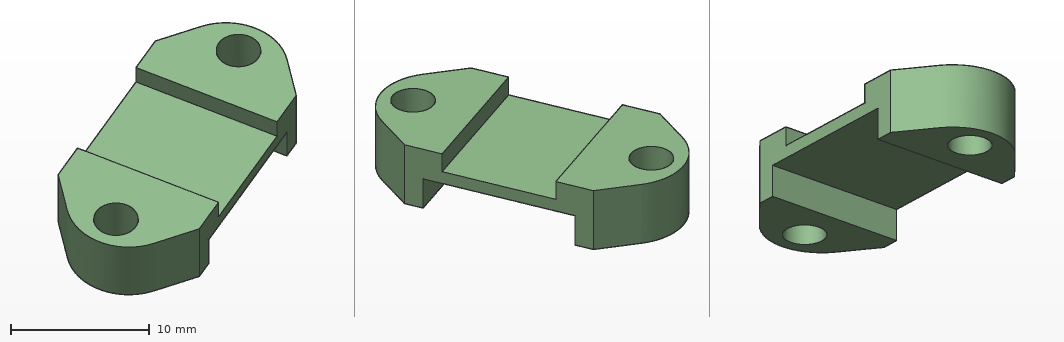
import cadquery as cq
import math

length = 23.97
width = 11.5
height = 5.0

end_radius = 4.5
shoulder_y = length / 2 - end_radius

hole_diameter = 3.2
hole_spacing = 18.9

top_channel_length = 9.01
top_channel_depth = 1.5
bottom_channel_length = 12.03
bottom_channel_depth = 2.5

half_width = width / 2
tangent_x = end_radius**2 / half_width
tangent_y = shoulder_y + math.sqrt(end_radius**2 - tangent_x**2)


def make_body():
    return (
        cq.Workplane("XY")
        .moveTo(half_width, -shoulder_y)
        .lineTo(half_width, shoulder_y)
        .lineTo(tangent_x, tangent_y)
        .threePointArc((0, length / 2), (-tangent_x, tangent_y))
        .lineTo(-half_width, shoulder_y)
        .lineTo(-half_width, -shoulder_y)
        .lineTo(-tangent_x, -tangent_y)
        .threePointArc((0, -length / 2), (tangent_x, -tangent_y))
        .close()
        .extrude(height)
    )


def make_channel(channel_length, depth, floor_z):
    """Block spanning the width, with its underside at floor_z."""
    return (
        cq.Workplane("XY")
        .workplane(offset=floor_z)
        .rect(width, channel_length)
        .extrude(depth)
    )


def make_holes():
    return (
        cq.Workplane("XY")
        .pushPoints([(0, -hole_spacing / 2), (0, hole_spacing / 2)])
        .circle(hole_diameter / 2)
        .extrude(height)
    )


top_channel = make_channel(top_channel_length, top_channel_depth, height - top_channel_depth)
bottom_channel = make_channel(bottom_channel_length, bottom_channel_depth, 0)
result = make_body().cut(top_channel).cut(bottom_channel).cut(make_holes())